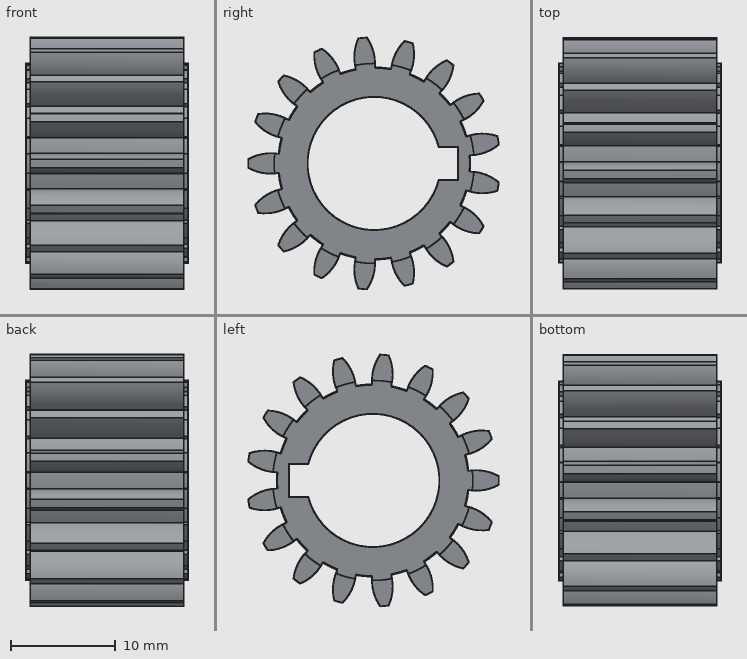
import cadquery as cq
import math

tooth_count = 17
tip_radius = 12.07
root_radius = 9.2
flank_middle_radius = 10.8

tip_width = 0.82
root_width = 1.85
flank_middle_width = 1.8

overall_length = 15.55
hub_projection = 0.4
tooth_length = overall_length - 2 * hub_projection

hub_land_radius = 9.56
hub_gap_radius = 9.13

bore_radius = 6.35
keyway_width = 3.13
keyway_reach = 8.0

first_tooth_angle = math.pi
tooth_spacing = 2 * math.pi / tooth_count


def polar(radius, angle):
    return (radius * math.cos(angle), radius * math.sin(angle))


def half_width_angle(radius, width):
    """Angle between the middle and the edge of a tooth of this width at this radius."""
    return math.asin(width / 2 / radius)


def add_tooth(outline, tooth_angle):
    """Bulging flank, tip arc and bulging flank, starting and ending on the root circle."""
    tip_half = half_width_angle(tip_radius, tip_width)
    middle_half = half_width_angle(flank_middle_radius, flank_middle_width)
    root_half = half_width_angle(root_radius, root_width)
    return (
        outline.threePointArc(
            polar(flank_middle_radius, tooth_angle - middle_half),
            polar(tip_radius, tooth_angle - tip_half),
        )
        .threePointArc(
            polar(tip_radius, tooth_angle),
            polar(tip_radius, tooth_angle + tip_half),
        )
        .threePointArc(
            polar(flank_middle_radius, tooth_angle + middle_half),
            polar(root_radius, tooth_angle + root_half),
        )
    )


def add_hub_land(outline, tooth_angle):
    """Step out to the land radius, follow it across one tooth width and step back in."""
    land_half = half_width_angle(hub_land_radius, root_width)
    gap_half = half_width_angle(hub_gap_radius, root_width)
    return (
        outline.lineTo(*polar(hub_land_radius, tooth_angle - land_half))
        .threePointArc(
            polar(hub_land_radius, tooth_angle),
            polar(hub_land_radius, tooth_angle + land_half),
        )
        .lineTo(*polar(hub_gap_radius, tooth_angle + gap_half))
    )


def toothed_prism(gap_radius, add_projection, start_x, length):
    """Prism along X: gap arcs of one radius, joined by a projection at every tooth position."""
    gap_half = half_width_angle(gap_radius, root_width)
    outline = cq.Workplane("YZ", origin=(start_x, 0, 0))
    outline = outline.moveTo(*polar(gap_radius, first_tooth_angle - gap_half))
    for index in range(tooth_count):
        tooth_angle = first_tooth_angle + index * tooth_spacing
        outline = add_projection(outline, tooth_angle)
        outline = outline.threePointArc(
            polar(gap_radius, tooth_angle + tooth_spacing / 2),
            polar(gap_radius, tooth_angle + tooth_spacing - gap_half),
        )
    return outline.close().extrude(length)


def make_bore():
    """Through bore with a square-cornered keyway towards +Y."""
    bore = cq.Workplane("YZ").circle(bore_radius).extrude(overall_length / 2, both=True)
    keyway = cq.Workplane("YZ").center(keyway_reach / 2, 0).rect(keyway_reach, keyway_width)
    return bore.union(keyway.extrude(overall_length / 2, both=True))


gear = toothed_prism(root_radius, add_tooth, -tooth_length / 2, tooth_length)
for hub_start in (-overall_length / 2, tooth_length / 2):
    gear = gear.union(toothed_prism(hub_gap_radius, add_hub_land, hub_start, hub_projection))
result = gear.cut(make_bore())